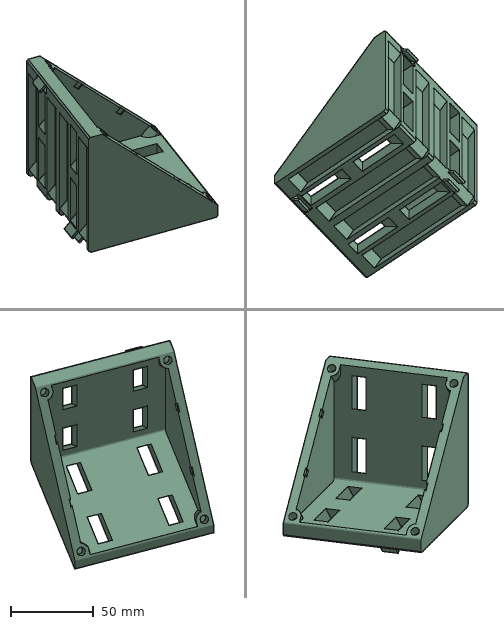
import cadquery as cq
import math

width = 88.0
leg = 86.1
rim = 8.8
rim_radius = 1.6
end_chamfer = 1.1
corner_chamfer = 1.4

wall = 10.0
side_wall = 5.85
cavity_radius = 2.1

screw_diameter = 5.0
screw_depth = 8.1
screw_side_offset = 4.95
screw_end_offset = 12.2
boss_radius = 5.0

latch_offset = 19.9
latch_length = 5.3
latch_inset = 0.9
latch_depth = 3.8
latch_radius = 1.1

channel_depth = 5.2
channel_low = 5.0
channel_high = 77.25
channel_spans = [(2.3, 14.8), (29.4, 41.4)]
corner_cut = 5.8

window_offset = 22.4
window_width = 8.9
window_spans = [(7.0, 39.0), (47.5, 78.7)]

hook_offset = 22.6
hook_width = 10.1
upper_hook_height = 84.8
hook_reach = 4.0
hook_thickness = 1.6
hook_root = 0.9
notch_width = 13.4
notch_depth = 2.9

half_width = width / 2
slant_sum = leg + rim
notch_top = leg - end_chamfer
screw_x = half_width - screw_side_offset
screw_low = screw_end_offset
screw_high = slant_sum - screw_end_offset


def prism(points, x_min, x_max):
    """Extrude a closed (Y, Z) outline from x_min to x_max."""
    sketch = cq.Workplane("YZ").workplane(offset=x_min).polyline(points).close()
    return sketch.extrude(x_max - x_min)


def both_faces(points, x_min, x_max):
    """A front-face prism together with its mirror image on the bottom face."""
    mirrored = [(z, y) for y, z in points]
    return prism(points, x_min, x_max).union(prism(mirrored, x_min, x_max))


def edge_along_x(y, z):
    """Selector for the edge that runs along X through the given (Y, Z) place."""
    return cq.selectors.BoxSelector((-0.9, y - 0.9, z - 0.9), (0.9, y + 0.9, z + 0.9))


def make_body():
    body = prism([(0, 0), (leg, 0), (leg, rim), (rim, leg), (0, leg)], -half_width, half_width)
    for y, z in [(leg, rim), (rim, leg)]:
        body = body.edges(edge_along_x(y, z)).fillet(rim_radius)
    for y, z in [(leg, 0), (0, leg)]:
        body = body.edges(edge_along_x(y, z)).chamfer(end_chamfer)
    return body.edges(edge_along_x(0, 0)).chamfer(corner_chamfer)


def slant_sketch(height):
    """Workplane on the slanted face at the given Z, with local Y running up the slope."""
    plane = cq.Plane(origin=(0, slant_sum - height, height), xDir=(-1, 0, 0), normal=(0, 1, 1))
    return cq.Workplane(plane)


def make_screw_boss(x, height, outward):
    """Round boss square to the slanted face, with straight sides running outward to the end wall."""
    post = slant_sketch(height).center(x, 0).circle(boss_radius).extrude(-leg)
    filler = (
        slant_sketch(height)
        .center(x, outward * boss_radius)
        .rect(2 * boss_radius, 2 * boss_radius)
        .extrude(-leg)
    )
    return post.union(filler)


def make_cavity():
    """Triangular cavity behind the slanted face, less a screw boss in each corner."""
    inner_half = half_width - side_wall
    far = slant_sum
    cavity = prism([(wall, wall), (far, wall), (wall, far)], -inner_half, inner_half)
    cavity = cavity.edges(edge_along_x(wall, wall)).fillet(cavity_radius)
    for height, outward in [(screw_low, -1), (screw_high, 1)]:
        for x in (-screw_x, screw_x):
            cavity = cavity.cut(make_screw_boss(x, height, outward))
    return cavity


def make_screw_holes():
    holes = cq.Workplane("XY")
    for height in (screw_low, screw_high):
        pair = slant_sketch(height).pushPoints([(-screw_x, 0), (screw_x, 0)])
        holes = holes.union(pair.circle(screw_diameter / 2).extrude(-screw_depth))
    return holes


def make_latch_slots():
    """Shallow slots in the slanted rims, open to the cavity, each with one rounded lip."""
    slots = cq.Workplane("XY")
    inner_half = half_width - side_wall
    plane = cq.Plane(origin=(-inner_half - latch_inset, slant_sum / 2, slant_sum / 2),
                     xDir=(0, 1, -1), normal=(1, 0, 0))
    for middle in (-latch_offset, latch_offset):
        low = middle - latch_length / 2
        high = middle + latch_length / 2
        lip = high - latch_radius
        slot = (
            cq.Workplane(plane)
            .moveTo(low, 0)
            .lineTo(low, -latch_depth)
            .lineTo(lip, -latch_depth)
            .lineTo(lip, -latch_radius)
            .radiusArc((high, 0), latch_radius)
            .close()
            .extrude(latch_inset)
        )
        slots = slots.union(slot).union(slot.mirror("YZ"))
    return slots


def make_channels():
    """Lengthwise channels with 45-degree ends, and the corner edge cut away across them."""
    profile = [(0, channel_low), (channel_depth, channel_low + channel_depth),
               (channel_depth, channel_high - channel_depth), (0, channel_high)]
    corner = [(0, 0), (corner_cut, 0), (0, corner_cut)]
    channels = cq.Workplane("XY")
    for near, far in channel_spans:
        for x_min, x_max in [(near, far), (-far, -near)]:
            channels = channels.union(both_faces(profile, x_min, x_max))
            channels = channels.union(prism(corner, x_min, x_max))
    return channels.union(prism(corner, channel_spans[0][1], channel_spans[1][0]))


def make_windows():
    windows = cq.Workplane("XY")
    for low, high in window_spans:
        profile = [(0, low), (wall, low + wall), (wall, high), (0, high)]
        for x in (-window_offset, window_offset):
            windows = windows.union(both_faces(profile, x - window_width / 2, x + window_width / 2))
    return windows


def make_notches():
    """V-shaped notches behind the upper hooks."""
    profile = [(0, notch_top), (notch_depth, notch_top - notch_depth), (0, notch_top - 2 * notch_depth)]
    return both_faces(profile, -window_offset - notch_width / 2, -window_offset + notch_width / 2)


def make_hooks(x, height):
    """45-degree tongue whose upper face meets the front face at the given height."""
    step = hook_thickness / math.sqrt(2)
    root = hook_root / math.sqrt(2)
    profile = [(root, height + root), (-hook_reach, height - hook_reach),
               (step - hook_reach, height - hook_reach - step), (step + root, height - step + root)]
    return both_faces(profile, x - hook_width / 2, x + hook_width / 2)


result = (
    make_body()
    .cut(make_cavity())
    .cut(make_screw_holes())
    .cut(make_latch_slots())
    .cut(make_channels())
    .cut(make_windows())
    .cut(make_notches())
    .union(make_hooks(-hook_offset, upper_hook_height))
    .union(make_hooks(hook_offset, corner_cut))
)